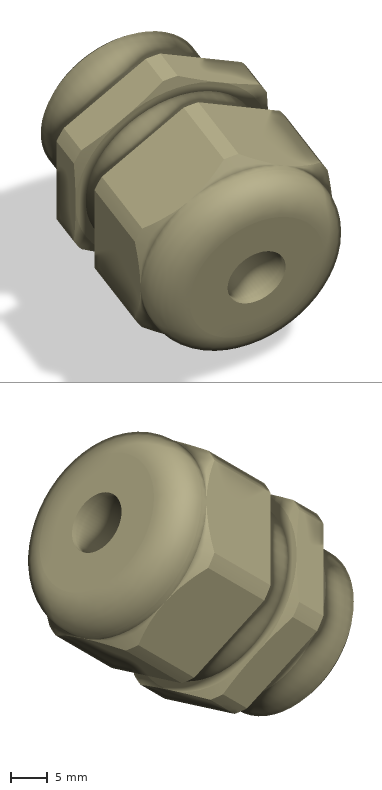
import cadquery as cq

length = 40.0
across_flats = 30.0
across_corners = 33.4

end_chamfer = 0.8
thread_end = 6.6
neck_start = 8.1
flange_start = 10.0
flange_corner_end = 15.05
flange_end = 15.55
nut_start = 21.0
nut_corner_end = 32.7
nut_end = 34.3
dome_start = 35.4

thread_diameter = 25.0
neck_diameter = 23.35
collar_diameter = 26.9
dome_radius = length - dome_start
bore_diameter = 9.0
mouth_diameter = 12.7
mouth_depth = 24.0


def revolve_profile(points):
    """Revolve an (axial position, radius) outline about the X axis."""
    outline = cq.Workplane("XY").polyline(points).close()
    return outline.revolve(360, (0, 0, 0), (1, 0, 0))


def cylinder(start, end, diameter):
    return cq.Workplane("YZ").workplane(offset=start).circle(diameter / 2).extrude(end - start)


def hexagon(start, corner_end, end):
    """Hexagon with flats facing +/-Y, rounded corners and a conical bevel at its +X end."""
    prism = (
        cq.Workplane("YZ")
        .workplane(offset=start)
        .polygon(6, across_flats, circumscribed=True)
        .extrude(end - start)
    )
    envelope = revolve_profile([
        (start, 0),
        (start, across_corners / 2),
        (corner_end, across_corners / 2),
        (end, across_flats / 2),
        (end, 0),
    ])
    return prism.intersect(envelope)


threaded_end = revolve_profile([
    (0, 0),
    (0, thread_diameter / 2 - end_chamfer),
    (end_chamfer, thread_diameter / 2),
    (thread_end, thread_diameter / 2),
    (neck_start, neck_diameter / 2),
    (flange_start, neck_diameter / 2),
    (flange_start, 0),
])

flange = hexagon(flange_start, flange_corner_end, flange_end)
collar = cylinder(flange_end, nut_start, collar_diameter)
nut = hexagon(nut_start, nut_corner_end, nut_end)

dome = cylinder(nut_end, length, across_flats).faces(">X").edges().fillet(dome_radius)

bore = revolve_profile([
    (0, 0),
    (0, mouth_diameter / 2),
    (mouth_depth, bore_diameter / 2),
    (length, bore_diameter / 2),
    (length, 0),
])

result = threaded_end.union(flange).union(collar).union(nut).union(dome).cut(bore)